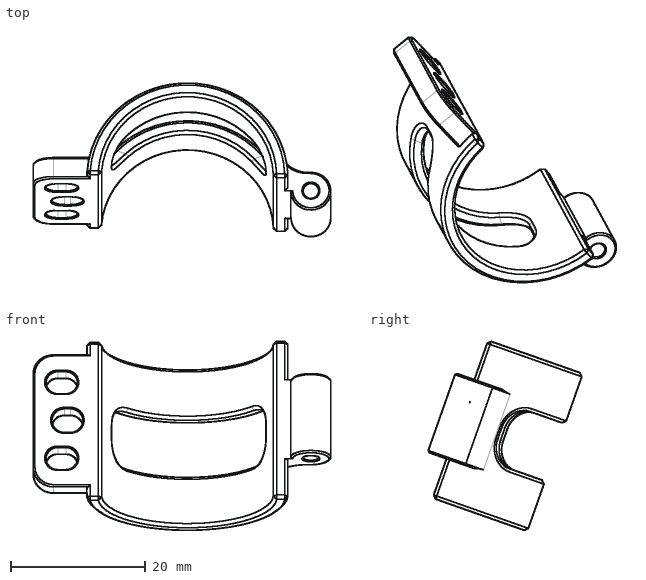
import cadquery as cq
import math

tilt_angle = 19.4

outer_radius = 15.0
wall = 2.18
inner_radius = outer_radius - wall
mid_radius = outer_radius - wall / 2
ring_length = 24.95
ring_chamfer = 0.5
left_end_y = 0.5
right_end_y = 0

window_length = 9.0
window_apex_x = 1.4
window_apex_y = 2.0
window_floor_slope = 20
window_corner_radius = 3.55
window_chamfer = 0.5

flange_reach = 23.0
flange_thickness = 3.37
flange_length = 20.85
flange_corner_radius = 3.0
flange_chamfer = 0.25

slot_spacing = 6.0
end_slot_x = -18.75
end_slot_width = 3.45
end_slot_straight = 1.25
middle_slot_x = -17.9
middle_slot_width = 3.75
middle_slot_straight = 0.9
slots = [
    (end_slot_x, slot_spacing, end_slot_width, end_slot_straight),
    (middle_slot_x, 0, middle_slot_width, middle_slot_straight),
    (end_slot_x, -slot_spacing, end_slot_width, end_slot_straight),
]
slot_chamfer = 0.18

hinge_x = 18.43
hinge_radius = 2.97
hinge_length = 12.5
hinge_chamfer = 0.25
hinge_blend_radius = 4.45
hinge_hole_diameter = 2.3
hinge_hole_chamfer = 0.18

selection_margin = 0.05


def prism(profile, length):
    """Extrude a closed XY profile symmetrically about the mid-plane of the ring."""
    return profile.extrude(length / 2, both=True)


def polar(center, radius, angle):
    """Point at a radius and an angle in radians from a centre."""
    return (center[0] + radius * math.cos(angle), center[1] + radius * math.sin(angle))


def make_half_ring():
    ring = prism(cq.Workplane("XY").circle(outer_radius).circle(inner_radius), ring_length)
    size = 3 * outer_radius
    for side, end_y in ((-1, left_end_y), (1, right_end_y)):
        waste = cq.Workplane("XY").box(size, size, size)
        ring = ring.cut(waste.translate((side * size / 2, end_y - size / 2, 0)))
    return ring.edges().chamfer(ring_chamfer)


def cut_window(ring):
    reach = 2 * outer_radius
    rise = reach * math.tan(math.radians(window_floor_slope))
    top_y = window_apex_y + rise + outer_radius
    profile = (
        cq.Workplane("XY")
        .moveTo(window_apex_x, window_apex_y)
        .lineTo(window_apex_x + reach, window_apex_y + rise)
        .lineTo(window_apex_x + reach, top_y)
        .lineTo(window_apex_x - reach, top_y)
        .lineTo(window_apex_x - reach, window_apex_y + rise)
        .close()
    )
    cutter = prism(profile, window_length)
    cutter = cutter.edges("not (|X or |Y or |Z)").fillet(window_corner_radius)

    half_band = window_length / 2 + selection_margin
    rims = cq.selectors.BoxSelector(
        (-outer_radius, window_apex_y, -half_band), (outer_radius, reach, half_band)
    )
    return ring.cut(cutter).edges(rims).chamfer(window_chamfer)


def make_flange():
    width = flange_reach - mid_radius
    return (
        cq.Workplane("XZ", origin=(-flange_reach + width / 2, left_end_y, 0))
        .rect(width, flange_length)
        .extrude(-flange_thickness)
        .edges("|Y and <X")
        .fillet(flange_corner_radius)
        .faces("<Y or >Y")
        .edges("not >X")
        .chamfer(flange_chamfer)
    )


def cut_slots(body):
    """Cut the slots and break their rims on both flange faces."""
    for x, z, width, straight in slots:
        face = cq.Workplane("XZ", origin=(x, left_end_y, z))
        body = body.cut(face.slot2D(width + straight, width).extrude(-flange_thickness))
        half_length = (width + straight) / 2 + selection_margin
        half_width = width / 2 + selection_margin
        front_y = left_end_y - selection_margin
        back_y = left_end_y + flange_thickness + selection_margin
        rims = cq.selectors.BoxSelector(
            (x - half_length, front_y, z - half_width), (x + half_length, back_y, z + half_width)
        )
        body = body.edges(rims).edges("not |Y").chamfer(slot_chamfer)
    return body


def make_hinge():
    """Barrel with an arm to the ring; the arm's upper side blends into the ring with an arc."""
    lower_right = -math.pi / 4
    top = math.pi / 2
    barrel = (hinge_x, right_end_y)
    blend_y = hinge_radius + hinge_blend_radius
    blend_reach = outer_radius + hinge_blend_radius
    ring_angle = math.asin(blend_y / blend_reach)
    blend = polar((0, 0), blend_reach, ring_angle)
    blend_mid_angle = (-math.pi / 2 + ring_angle - math.pi) / 2
    profile = (
        cq.Workplane("XY")
        .moveTo(mid_radius, right_end_y)
        .lineTo(hinge_x - hinge_radius, right_end_y)
        .threePointArc(polar(barrel, hinge_radius, lower_right), polar(barrel, hinge_radius, top))
        .lineTo(blend[0], hinge_radius)
        .threePointArc(
            polar(blend, hinge_blend_radius, blend_mid_angle), polar((0, 0), outer_radius, ring_angle)
        )
        .lineTo(*polar((0, 0), mid_radius, ring_angle))
        .close()
    )
    hinge = prism(profile, hinge_length)

    far = 2 * outer_radius
    barrel_side = cq.selectors.BoxSelector((hinge_x - hinge_radius, -far, -far), (far, far, far))
    return hinge.faces("|Z").edges(barrel_side).chamfer(hinge_chamfer)


def drill_hinge(body):
    """Drill the pin hole and countersink it at both ends of the barrel."""
    end = cq.Workplane("XY", origin=(hinge_x, right_end_y, hinge_length / 2))
    rim_diameter = hinge_hole_diameter + 2 * hinge_hole_chamfer
    hole = end.circle(hinge_hole_diameter / 2).extrude(-hinge_length)
    sink = cq.Workplane(
        cq.Solid.makeCone(rim_diameter / 2, hinge_hole_diameter / 2, hinge_hole_chamfer)
    ).translate((hinge_x, right_end_y, -hinge_length / 2))
    return body.cut(hole).cut(sink).cut(sink.mirror("XY"))


body = cut_window(make_half_ring())
body = body.union(make_flange()).union(make_hinge())
body = drill_hinge(cut_slots(body))
result = body.rotate((0, 0, 0), (1, 0, 0), -tilt_angle)